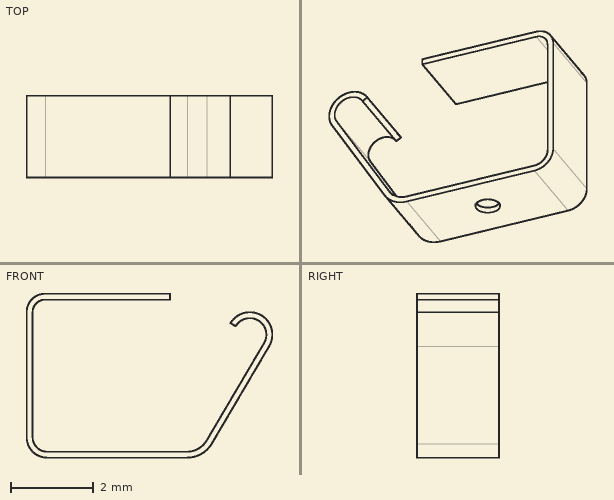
import cadquery as cq
import math

thickness = 0.15
width = 2.0

height = 4.0
length = 5.99
top_arm_length = 3.5
top_corner_radius = 0.45
bottom_corner_radius = 0.5

arm_angle = math.radians(59.5)
arm_bend_radius = 0.7
hook_radius = 0.55
hook_center_z = 3.0

hole_diameter = 0.6
hole_x = 2.2

hook_center = (length - hook_radius, hook_center_z)

normal_angle = arm_angle - math.pi / 2
normal_x = math.cos(normal_angle)
normal_z = math.sin(normal_angle)

arm_offset = hook_center[0] * normal_x + hook_center[1] * normal_z + hook_radius
arm_bend_x = (arm_offset - arm_bend_radius * (1 + normal_z)) / normal_x
arm_bend_center = (arm_bend_x, arm_bend_radius)

top_corner_center = (top_corner_radius, height - top_corner_radius)
bottom_corner_center = (bottom_corner_radius, bottom_corner_radius)


def on_circle(center, radius, angle):
    """Point (X, Z) at an angle, in radians from +X, on a circle."""
    return (center[0] + radius * math.cos(angle), center[1] + radius * math.sin(angle))


def bend(path, center, radius, start, end):
    """Run straight to the start of an arc, then follow the arc to its end."""
    middle = on_circle(center, radius, (start + end) / 2)
    return path.lineTo(*on_circle(center, radius, start)).threePointArc(
        middle, on_circle(center, radius, end)
    )


def make_strip():
    """Bent strip of constant thickness, centred on Y = 0."""
    bends = [
        (top_corner_center, top_corner_radius, math.pi / 2, math.pi),
        (bottom_corner_center, bottom_corner_radius, math.pi, 3 * math.pi / 2),
        (arm_bend_center, arm_bend_radius, -math.pi / 2, normal_angle),
        (hook_center, hook_radius, normal_angle, normal_angle + math.pi),
    ]
    path = cq.Workplane("XZ").moveTo(top_arm_length, height)
    for center, radius, start, end in bends:
        path = bend(path, center, radius, start, end)
    for center, radius, start, end in reversed(bends):
        path = bend(path, center, radius - thickness, end, start)
    path = path.lineTo(top_arm_length, height - thickness).close()
    return path.extrude(width / 2, both=True)


def make_floor_hole():
    """Cutter for the round hole through the floor."""
    return cq.Workplane("XY").center(hole_x, 0).circle(hole_diameter / 2).extrude(thickness)


result = make_strip().cut(make_floor_hole())